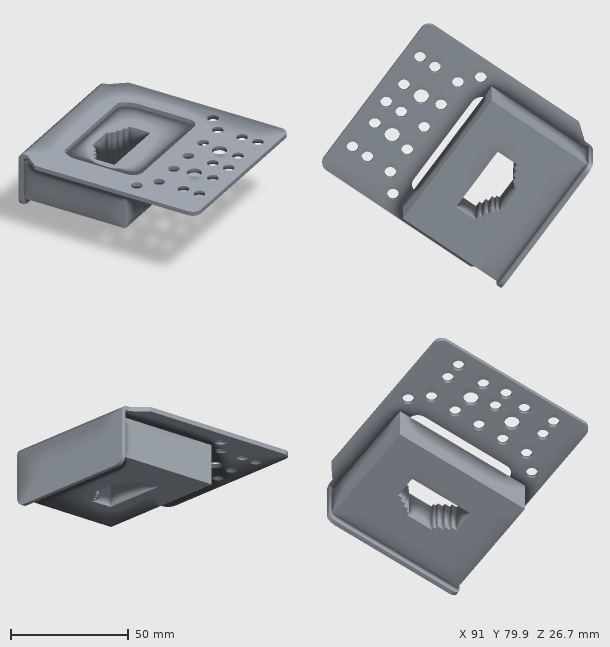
import cadquery as cq
import math

length = 91.0
width = 79.9
height = 26.7
sheet = 2.0
bend_radius = 3.0
corner_radius = 4.0
flange_width = 68.2
shoulder_start_x = 4.2
shoulder_end_x = 11.5

window_min_x = 16.0
window_max_x = 54.2
window_half_width = 26.5
window_far_radius = 5.0
window_near_radius = 10.0
window_near_half_width = 22.8

small_hole_diameter = 5.0
large_hole_diameter = 6.6
hole_row_pitch = 12.5
hole_outer_y = 2 * hole_row_pitch
pair_y = 10.7
edge_hole_x = 57.45
edge_hole_y = 32.4
five_hole_x = 64.1
large_hole_x = 73.2
middle_column_x = 76.1
pair_hole_x = 82.3
last_column_x = 83.9

block_max_x = 52.0
block_width = 65.55
block_bottom_z = 3.8
block_height = 18.0

port_max_x = 36.5
port_steps = [
    (20.1, 6.4),
    (21.6, 7.7),
    (23.0, 10.3),
    (24.6, 12.9),
    (26.0, 15.4),
]


def bent_sheet():
    """L-shaped profile, rounded outside and sharp inside the bend, extruded over the full width."""
    return (
        cq.Workplane("XZ")
        .lineTo(sheet, 0)
        .lineTo(sheet, height - sheet)
        .lineTo(length, height - sheet)
        .lineTo(length, height)
        .lineTo(bend_radius, height)
        .radiusArc((0, height - bend_radius), -bend_radius)
        .close()
        .extrude(width / 2, both=True)
    )


def plan_outline():
    """Prism with the plan shape of the bracket: narrow at the flange, full width beyond."""
    half_flange = flange_width / 2
    half_width = width / 2
    return (
        cq.Workplane("XY")
        .polyline([
            (0, -half_flange),
            (shoulder_start_x, -half_flange),
            (shoulder_end_x, -half_width),
            (length, -half_width),
            (length, half_width),
            (shoulder_end_x, half_width),
            (shoulder_start_x, half_flange),
            (0, half_flange),
        ])
        .close()
        .extrude(height)
        .edges("|Z and >X")
        .fillet(corner_radius)
    )


def window():
    """Cutter for the plate window."""
    arc_drop = window_half_width - window_near_half_width
    arc_run = math.sqrt(window_near_radius**2 - (window_near_radius - arc_drop)**2)
    arc_end_x = window_min_x + arc_run
    far_x = window_max_x - window_far_radius
    far_y = window_half_width - window_far_radius
    return (
        cq.Workplane("XY")
        .moveTo(window_min_x, window_near_half_width)
        .radiusArc((arc_end_x, window_half_width), window_near_radius)
        .lineTo(far_x, window_half_width)
        .radiusArc((window_max_x, far_y), window_far_radius)
        .lineTo(window_max_x, -far_y)
        .radiusArc((far_x, -window_half_width), window_far_radius)
        .lineTo(arc_end_x, -window_half_width)
        .radiusArc((window_min_x, -window_near_half_width), window_near_radius)
        .close()
        .extrude(height)
    )


def hole_cutters(diameter, points):
    """Vertical cylinders at the given plan positions."""
    return cq.Workplane("XY").pushPoints(points).circle(diameter / 2).extrude(height)


def make_bracket():
    small_holes = [(edge_hole_x, side * edge_hole_y) for side in (-1, 1)]
    small_holes += [(five_hole_x, row * hole_row_pitch) for row in range(-2, 3)]
    for column_x in (middle_column_x, last_column_x):
        small_holes += [(column_x, y) for y in (-hole_outer_y, 0, hole_outer_y)]
    small_holes += [(pair_hole_x, side * pair_y) for side in (-1, 1)]
    large_holes = [(large_hole_x, side * pair_y) for side in (-1, 1)]

    body = bent_sheet().intersect(plan_outline())
    body = body.edges("|X and <Z").fillet(corner_radius)
    body = body.cut(window())
    body = body.cut(hole_cutters(small_hole_diameter, small_holes))
    return body.cut(hole_cutters(large_hole_diameter, large_holes))


def make_socket_block():
    body = (
        cq.Workplane("XY", origin=(sheet, 0, block_bottom_z))
        .box(block_max_x - sheet, block_width, block_height, centered=(False, True, False))
    )
    for step_x, half_width in port_steps:
        step = (
            cq.Workplane("XY", origin=(step_x, 0, block_bottom_z))
            .box(port_max_x - step_x, 2 * half_width, block_height, centered=(False, True, False))
        )
        body = body.cut(step)
    return body


bracket = make_bracket()
socket_block = make_socket_block()
result = cq.Compound.makeCompound([bracket.solids().val(), socket_block.solids().val()])